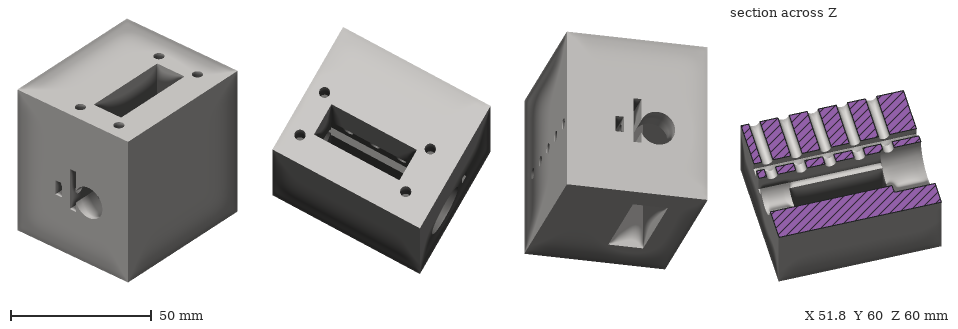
import cadquery as cq

WIDTH = 51.75
LENGTH = 60.0
HEIGHT = 60.0

BORE_X = 33.35
BORE_Z = 26.0
BORE_DIAMETER = 12.8
WIDE_BORE_DIAMETER = 19.1
WIDE_BORE_DEPTH = 15.0
WIDE_BORE_START = LENGTH - WIDE_BORE_DEPTH

WINDOW_WIDTH = BORE_DIAMETER
WINDOW_LENGTH = 34.75
WINDOW_BACK = WIDE_BORE_START
WINDOW_FRONT = WINDOW_BACK - WINDOW_LENGTH

SLOT_LEFT = 24.5
SLOT_WIDTH = 2.9
SLOT_BOTTOM = BORE_Z - BORE_DIAMETER / 2
SLOT_HEIGHT = 17.1

CHANNEL_LEFT = 17.8
CHANNEL_WIDTH = 3.1
CHANNEL_HEIGHT = 6.0

SCREW_DIAMETER = 4.0
SCREW_DEPTH = 10.0
SCREW_SPACING_X = 18.0
SCREW_SPACING_Y = 43.0
SCREW_FRONT_Y = 6.0

CROSS_DIAMETER = 4.0
CROSS_COUNT = 5
CROSS_PITCH = 10.75
CROSS_FRONT_Y = 5.0


def box(left, front, bottom, width, length, height):
    """Box placed by its lower front left corner."""
    return cq.Workplane("XY").box(width, length, height, centered=False).translate((left, front, bottom))


def rod(start, direction, diameter, length):
    """Cylinder running from a start point along a direction."""
    solid = cq.Solid.makeCylinder(diameter / 2, length, cq.Vector(*start), cq.Vector(*direction))
    return cq.Workplane(obj=solid)


def cut_bores(body):
    body = body.cut(rod((BORE_X, 0, BORE_Z), (0, 1, 0), BORE_DIAMETER, LENGTH))
    return body.cut(rod((BORE_X, WIDE_BORE_START, BORE_Z), (0, 1, 0), WIDE_BORE_DIAMETER, WIDE_BORE_DEPTH))


def cut_window(body):
    left = BORE_X - WINDOW_WIDTH / 2
    return body.cut(box(left, WINDOW_FRONT, 0, WINDOW_WIDTH, WINDOW_LENGTH, HEIGHT))


def cut_slot_and_channel(body):
    body = body.cut(box(SLOT_LEFT, 0, SLOT_BOTTOM, SLOT_WIDTH, WIDE_BORE_START, SLOT_HEIGHT))
    channel_bottom = BORE_Z - CHANNEL_HEIGHT / 2
    return body.cut(box(CHANNEL_LEFT, 0, channel_bottom, CHANNEL_WIDTH, LENGTH, CHANNEL_HEIGHT))


def cut_screw_holes(body):
    for side in (-1, 1):
        x = BORE_X + side * SCREW_SPACING_X / 2
        for y in (SCREW_FRONT_Y, SCREW_FRONT_Y + SCREW_SPACING_Y):
            body = body.cut(rod((x, y, HEIGHT), (0, 0, -1), SCREW_DIAMETER, SCREW_DEPTH))
    return body


def cut_cross_holes(body):
    for index in range(CROSS_COUNT):
        y = CROSS_FRONT_Y + index * CROSS_PITCH
        body = body.cut(rod((0, y, BORE_Z), (1, 0, 0), CROSS_DIAMETER, BORE_X))
    return body


block = box(0, 0, 0, WIDTH, LENGTH, HEIGHT)
block = cut_bores(block)
block = cut_window(block)
block = cut_slot_and_channel(block)
block = cut_screw_holes(block)
result = cut_cross_holes(block)